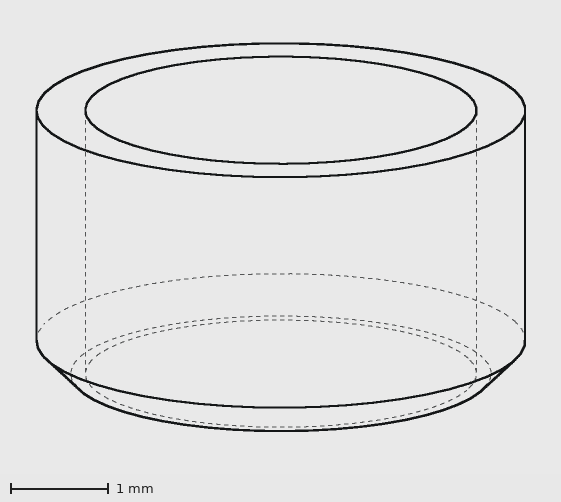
import cadquery as cq

outer_diameter = 5.0
bore_diameter = 4.0
height = 2.8
chamfer_size = 0.35


def make_ring():
    """Plain ring standing on the XY plane, centred on the Z axis."""
    return (
        cq.Workplane("XY")
        .circle(outer_diameter / 2)
        .circle(bore_diameter / 2)
        .extrude(height)
    )


def chamfer_bottom_rim(ring):
    """Bevel the outer bottom edge at 45 degrees, leaving the bore edge sharp."""
    outer_bottom_edge = cq.selectors.RadiusNthSelector(-1)
    return ring.faces("<Z").edges(outer_bottom_edge).chamfer(chamfer_size)


result = chamfer_bottom_rim(make_ring())